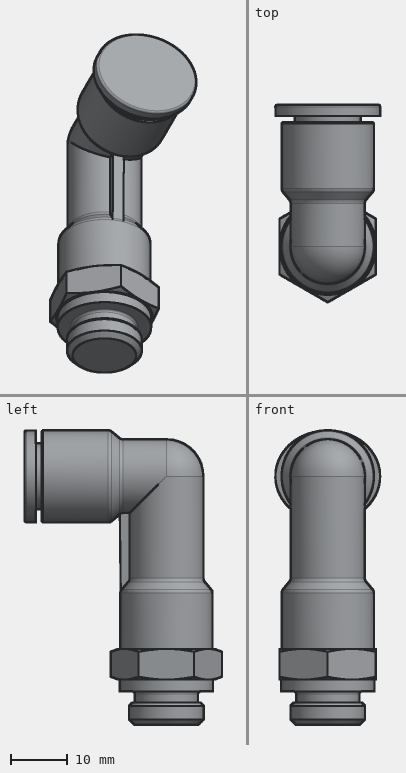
import cadquery as cq


tube_radius = 6.55
socket_radius = 8.15
blend_radius = 1.0
cone_length = 1.9

push_cone_start = 8.0
push_socket_end = 22.0
push_rim_chamfer = 0.3
release_neck_radius = 5.85
release_flange_start = 23.0
release_flange_end = 25.0
release_flange_width = 18.5
release_flange_height = 16.2
release_flange_round = 0.4

stem_cone_start = 18.3
hex_top = 30.4
hex_bottom = 35.8
collar_bottom = 37.9
groove_bottom = 39.82
thread_bottom = 43.8
hex_across_flats = 17.0
hex_bevel_height = 0.5
collar_radius = 8.25
groove_radius = 5.6
groove_round = 0.4
thread_radius = 6.6
thread_top_chamfer = 0.6
thread_end_chamfer = 1.0

web_thickness = 2.0
web_reach_at_bend = 8.3
web_reach_at_socket = 8.05

selection_margin = 0.05


def ring_at(radius, height):
    """Selector for the circular edge of the given radius around Z at the given height."""
    reach = radius + selection_margin
    low_corner = (-reach, -reach, height - selection_margin)
    high_corner = (reach, reach, height + selection_margin)
    return cq.selectors.BoxSelector(low_corner, high_corner, boundingbox=True)


def leg_body(cone_start, socket_end):
    """Tube that widens over a rounded cone into a socket, along +Z from the bend."""
    cone_end = cone_start + cone_length
    profile = [
        (0, 0),
        (tube_radius, 0),
        (tube_radius, cone_start),
        (socket_radius, cone_end),
        (socket_radius, socket_end),
        (0, socket_end),
    ]
    body = cq.Workplane("XZ").polyline(profile).close().revolve(360, (0, 0), (0, 1))
    for radius, height in ((tube_radius, cone_start), (socket_radius, cone_end)):
        body = body.edges(ring_at(radius, height)).fillet(blend_radius)
    return body


def along_y(shape):
    """Turn a leg built along +Z to run along +Y."""
    return shape.rotate((0, 0, 0), (1, 0, 0), -90)


def along_minus_z(shape):
    """Turn a leg built along +Z to run along -Z."""
    return shape.rotate((0, 0, 0), (1, 0, 0), 180)


def cylinder(radius, start, end):
    """Round bar around Z between two heights."""
    return cq.Workplane("XY").workplane(offset=start).circle(radius).extrude(end - start)


def push_leg():
    """Socket with the neck and oval flange of its release sleeve."""
    leg = leg_body(push_cone_start, push_socket_end).faces(">Z").edges().chamfer(push_rim_chamfer)
    neck = cylinder(release_neck_radius, push_socket_end, release_flange_start)
    flange = (
        cq.Workplane("XY")
        .workplane(offset=release_flange_start)
        .ellipse(release_flange_width / 2, release_flange_height / 2)
        .extrude(release_flange_end - release_flange_start)
        .faces(">Z")
        .edges()
        .fillet(release_flange_round)
    )
    return along_y(leg.union(neck).union(flange))


def hexagon():
    """Hexagon with corners on the Y axis, its corners bevelled by a shallow cone top and bottom."""
    corner_radius = hex_across_flats / 3 ** 0.5
    height = hex_bottom - hex_top
    blank = (
        cq.Workplane("XY")
        .workplane(offset=hex_top)
        .polygon(6, 2 * corner_radius)
        .extrude(height)
        .rotate((0, 0, 0), (0, 0, 1), 90)
    )
    bevel_width = corner_radius - hex_across_flats / 2
    cone_limit = cylinder(corner_radius, hex_top, hex_bottom).edges().chamfer(hex_bevel_height, bevel_width)
    return blank.intersect(cone_limit)


def threaded_leg():
    """Socket, wrench hexagon, sealing collar, relief groove and thread, stacked along the leg."""
    leg = leg_body(stem_cone_start, hex_top)
    collar = cylinder(collar_radius, hex_bottom, collar_bottom)
    groove = cylinder(groove_radius, collar_bottom, groove_bottom)
    groove_root = ring_at(groove_radius, collar_bottom)
    collar_and_groove = collar.union(groove).edges(groove_root).fillet(groove_round)
    thread = (
        cylinder(thread_radius, groove_bottom, thread_bottom)
        .faces("<Z")
        .edges()
        .chamfer(thread_top_chamfer)
        .faces(">Z")
        .edges()
        .chamfer(thread_end_chamfer)
    )
    return along_minus_z(leg.union(hexagon()).union(collar_and_groove).union(thread))


def corner_web():
    """Flat web between the two legs, tapering slightly down to run out in the stem socket."""
    web_bottom = -(stem_cone_start + cone_length + blend_radius)
    outline = [
        (0, 0),
        (web_reach_at_bend, 0),
        (web_reach_at_socket, web_bottom),
        (0, web_bottom),
    ]
    return cq.Workplane("YZ").polyline(outline).close().extrude(web_thickness / 2, both=True)


bend = cq.Workplane("XY").sphere(tube_radius)

result = push_leg().union(threaded_leg()).union(bend).union(corner_web())